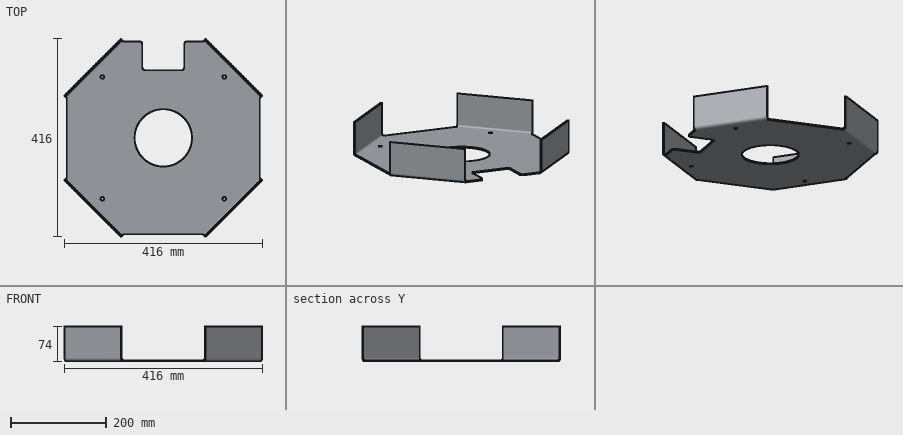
import cadquery as cq
import math

overall_width = 416.0
overall_height = 74.0
plate_width = 406.0
thickness = 3.0
bore_diameter = 120.0
hole_diameter = 7.0
hole_offset = 128.0
notch_width = 87.8
notch_depth = 60.7
notch_radius = 6.2

plate_half = plate_width / 2
flange_half_length = plate_half * math.tan(math.pi / 8)
flange_reach = overall_width / math.sqrt(2) - flange_half_length
outer_bend_radius = flange_reach - plate_half
inner_bend_radius = outer_bend_radius - thickness


def make_plate():
    """Regular octagonal base with flats facing X and Y."""
    circumscribed_diameter = plate_width / math.cos(math.pi / 8)
    return (
        cq.Workplane("XY")
        .polygon(8, circumscribed_diameter)
        .extrude(thickness)
        .rotate((0, 0, 0), (0, 0, 1), 22.5)
    )


def make_flange(angle):
    """Upright wall with a rounded bend, turned to the given angle about Z."""
    diagonal = math.sqrt(0.5)
    bend_x = plate_half
    bend_z = outer_bend_radius
    inner_face = flange_reach - thickness
    profile = (
        cq.Workplane("XZ")
        .moveTo(bend_x, 0)
        .threePointArc(
            (bend_x + outer_bend_radius * diagonal, bend_z - outer_bend_radius * diagonal),
            (flange_reach, bend_z),
        )
        .lineTo(flange_reach, overall_height)
        .lineTo(inner_face, overall_height)
        .lineTo(inner_face, bend_z)
        .threePointArc(
            (bend_x + inner_bend_radius * diagonal, bend_z - inner_bend_radius * diagonal),
            (bend_x, thickness),
        )
        .close()
    )
    flange = profile.extrude(flange_half_length, both=True)
    return flange.rotate((0, 0, 0), (0, 0, 1), angle)


def cut_notch(body):
    """Rectangular notch in the +Y edge, with rounded inner and mouth corners."""
    cutter = (
        cq.Workplane("XY")
        .center(0, plate_half - notch_depth / 2)
        .rect(notch_width, notch_depth)
        .extrude(thickness)
    )
    notch_half = notch_width / 2
    notch_floor = plate_half - notch_depth
    corners = cq.selectors.BoxSelector(
        (-notch_half - notch_radius, notch_floor - notch_radius, 0),
        (notch_half + notch_radius, plate_half + notch_radius, thickness),
    )
    return body.cut(cutter).edges("|Z").edges(corners).fillet(notch_radius)


def cut_holes(body):
    """Central bore and four small holes on the diagonals."""
    body = body.faces("<Z").workplane(origin=(0, 0, 0)).hole(bore_diameter)
    return (
        body.faces("<Z")
        .workplane(origin=(0, 0, 0))
        .rect(2 * hole_offset, 2 * hole_offset, forConstruction=True)
        .vertices()
        .hole(hole_diameter)
    )


result = cut_holes(cut_notch(make_plate()))
for flange_angle in (45, 135, 225, 315):
    result = result.union(make_flange(flange_angle))